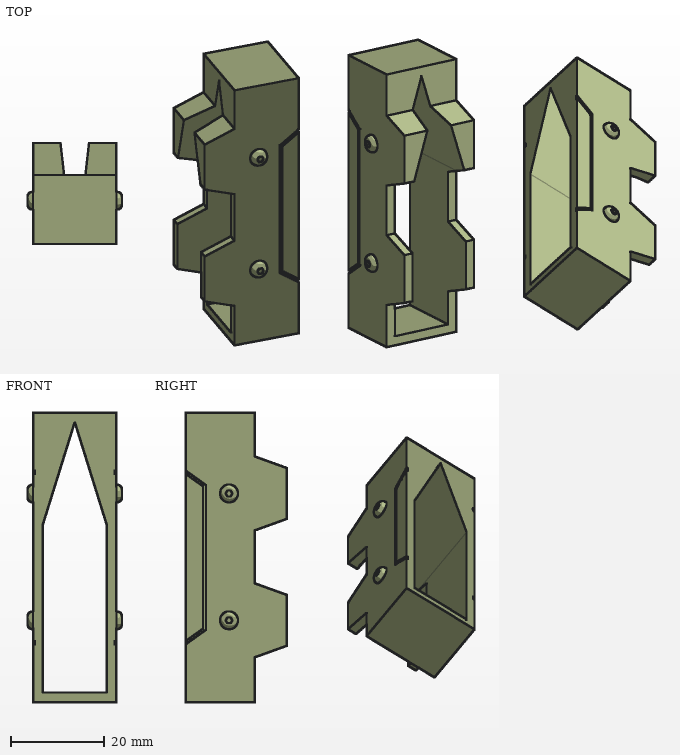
import cadquery as cq
import math

height = 62.2
width = 17.9
width_over_heads = 20.35
body_depth = 14.9
total_depth = 21.8
wall = 2.1

shoulder_height = 38.15

tooth_centers = (17.6, 44.85)
tooth_root_height = 15.9
tooth_tip_height = 10.95

screw_y = 9.35
head_radius = 1.9
head_top_radius = 0.8
head_height = (width_over_heads - width) / 2
head_embed = wall / 2
socket_corner_diameter = 1.45
socket_depth = 0.1

groove_reach = 4.35
groove_width = 0.55
groove_depth = 0.4
groove_front_height = 37.35
groove_back_height = 31.1


def tapered_prism(y_base, y_tip, z_center, base_height, tip_height, x_start, thickness):
    """Trapezoid in the YZ plane, extruded along +X from x_start."""
    points = [
        (y_base, z_center - base_height / 2),
        (y_tip, z_center - tip_height / 2),
        (y_tip, z_center + tip_height / 2),
        (y_base, z_center + base_height / 2),
    ]
    return cq.Workplane("YZ", origin=(x_start, 0, 0)).polyline(points).close().extrude(thickness)


def make_opening():
    """Pointed window running through the full depth, teeth included."""
    half_width = width / 2 - wall
    points = [
        (-half_width, wall),
        (half_width, wall),
        (half_width, shoulder_height),
        (0, height - wall),
        (-half_width, shoulder_height),
    ]
    return cq.Workplane("XZ").polyline(points).close().extrude(-total_depth)


def make_groove():
    """Constant-width trapezoidal groove in the +X side, open at the front face."""
    x_start = width / 2 - groove_depth
    z_center = height / 2
    end_slope = (groove_front_height - groove_back_height) / 2 / groove_reach
    end_inset = groove_width * math.hypot(1, end_slope)
    island_reach = groove_reach - groove_width
    island_front_height = groove_front_height - 2 * end_inset
    island_back_height = island_front_height - 2 * end_slope * island_reach
    outer = tapered_prism(
        0, groove_reach, z_center, groove_front_height, groove_back_height, x_start, groove_depth
    )
    island = tapered_prism(
        0, island_reach, z_center, island_front_height, island_back_height, x_start, groove_depth
    )
    return outer.cut(island)


def make_screw_head(z_center):
    """Domed head on the +X side, its dome tangent to the flat top, with a shallow hex recess."""
    x_base = width / 2
    x_top = x_base + head_height
    head = (
        cq.Workplane("XY")
        .moveTo(x_top, 0)
        .lineTo(x_top, head_top_radius)
        .tangentArcPoint((x_base, head_radius), relative=False)
        .lineTo(x_base - head_embed, head_radius)
        .lineTo(x_base - head_embed, 0)
        .close()
        .revolve(360, (0, 0, 0), (1, 0, 0))
    )
    socket = (
        cq.Workplane("YZ", origin=(x_top - socket_depth, 0, 0))
        .polygon(6, socket_corner_diameter)
        .extrude(socket_depth)
    )
    return head.cut(socket).translate((0, screw_y, z_center))


body = cq.Workplane("XY").box(width, body_depth, height, centered=(True, False, False))
for tooth_z in tooth_centers:
    tooth = tapered_prism(
        body_depth, total_depth, tooth_z, tooth_root_height, tooth_tip_height, -width / 2, width
    )
    body = body.union(tooth)
body = body.cut(make_opening())

groove = make_groove()
body = body.cut(groove).cut(groove.mirror("YZ"))

for screw_z in tooth_centers:
    screw_head = make_screw_head(screw_z)
    body = body.union(screw_head).union(screw_head.mirror("YZ"))

result = body